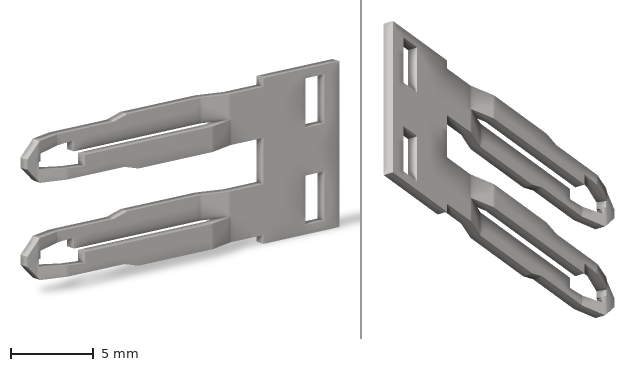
import cadquery as cq
import math

length = 24.6
height = 10.4
spread = 1.7
thickness = 0.66
strand_offset = (spread - thickness) / 2

base_length = 6.0
window_start = 1.2
window_length = 1.5
window_height = 3.1

arm_pitch = 6.1
arm_width = 3.2
neck_width = 2.6
neck_start = 16.29
neck_end = 17.4
tip_width = 0.65
tip_chamfer = (neck_width - tip_width) / 2

open_start = 8.6
open_end = 10.53
close_start = 21.82
close_end = 23.81

slot_start = 20.5
slot_end = 23.71
slot_start_height = 1.4
slot_end_height = 0.95


def y_at(distance):
    """Y position at a given distance from the base edge."""
    return length / 2 - distance


def plate(outline):
    """Flat sheet through the full spread from (distance, z) points."""
    points = [(y_at(distance), z) for distance, z in outline]
    return cq.Workplane("YZ").polyline(points).close().extrude(spread / 2, both=True)


def mirrored_outline(upper_edge):
    """Closed outline from an upper edge and its mirror image below z = 0."""
    return upper_edge + [(distance, -z) for distance, z in reversed(upper_edge)]


def make_base():
    base = cq.Workplane("XY").box(thickness, base_length, height)
    base = base.translate((0, y_at(base_length / 2), 0))
    window = cq.Workplane("XY").box(spread, window_length, window_height)
    window_y = y_at(window_start + window_length / 2)
    for side in (-1, 1):
        base = base.cut(window.translate((0, window_y, side * arm_pitch / 2)))
    return base


def slope_angle(slope_length):
    """Angle of a sloping stretch between its two diagonally opposite inside corners."""
    overlap = thickness - strand_offset
    diagonal = math.hypot(slope_length, overlap)
    return math.asin(thickness / diagonal) - math.atan2(overlap, slope_length)


open_angle = slope_angle(open_end - open_start)
close_angle = slope_angle(close_end - close_start)


def bend_point(corner, side, angle):
    """Point one thickness from a sharp inside corner, on the -X (-1) or +X (+1) side."""
    corner_x, distance = corner
    x = corner_x + side * thickness * math.cos(angle)
    return (x, y_at(distance) - thickness * math.sin(angle))


def bend_arc(profile, corner, side, start_angle, end_angle):
    """Line to the round outside of a bend, then the arc around it."""
    profile = profile.lineTo(*bend_point(corner, side, start_angle))
    middle = bend_point(corner, side, (start_angle + end_angle) / 2)
    return profile.threePointArc(middle, bend_point(corner, side, end_angle))


def make_strand_profile():
    """XY outline of a strand that bulges to +X, with bends round outside and sharp inside."""
    half = thickness / 2
    bulge_x = strand_offset - half
    open_start_corner = (half, open_start)
    open_end_corner = (bulge_x, open_end)
    close_start_corner = (bulge_x, close_start)
    close_end_corner = (half, close_end)

    profile = cq.Workplane("XY").moveTo(half, y_at(base_length))
    profile = profile.lineTo(half, y_at(open_start))
    profile = bend_arc(profile, open_end_corner, 1, -open_angle, 0)
    profile = bend_arc(profile, close_start_corner, 1, 0, close_angle)
    profile = profile.lineTo(half, y_at(close_end))
    profile = profile.lineTo(half, y_at(length))

    profile = profile.lineTo(-half, y_at(length))
    profile = bend_arc(profile, close_end_corner, -1, 0, -close_angle)
    profile = profile.lineTo(bulge_x, y_at(close_start))
    profile = profile.lineTo(bulge_x, y_at(open_end))
    profile = bend_arc(profile, open_start_corner, -1, open_angle, 0)
    profile = profile.lineTo(-half, y_at(base_length))
    return profile.close()


def make_slot():
    """Tapered slot for a strand that bulges to +X, cut off square to its slope."""
    slot_taper = (slot_start_height - slot_end_height) / (slot_end - slot_start)
    taper_end_height = slot_end_height - slot_taper * (length - slot_end)
    taper = plate(mirrored_outline([
        (slot_start, slot_start_height / 2),
        (length, taper_end_height / 2),
    ]))
    slope = math.tan(close_angle)
    face_x = thickness / 2 + (close_end - slot_end) * slope
    limit = cq.Workplane("XY").polyline([
        (-spread, y_at(slot_start)),
        (spread, y_at(slot_start)),
        (spread, y_at(slot_end) - (spread - face_x) * slope),
        (-spread, y_at(slot_end) + (spread + face_x) * slope),
    ]).close().extrude(arm_width / 2, both=True)
    return taper.intersect(limit)


def make_arm():
    arm_shape = plate(mirrored_outline([
        (base_length, arm_width / 2),
        (neck_start, arm_width / 2),
        (neck_end, neck_width / 2),
        (length - tip_chamfer, neck_width / 2),
        (length, tip_width / 2),
    ]))
    lower_strand = make_strand_profile().extrude(-arm_width / 2)
    lower_strand = lower_strand.intersect(arm_shape).cut(make_slot())
    upper_strand = lower_strand.rotate((0, 0, 0), (0, 1, 0), 180)
    return lower_strand.union(upper_strand)


arm = make_arm()
result = make_base()
for arm_z in (-arm_pitch / 2, arm_pitch / 2):
    result = result.union(arm.translate((0, 0, arm_z)))